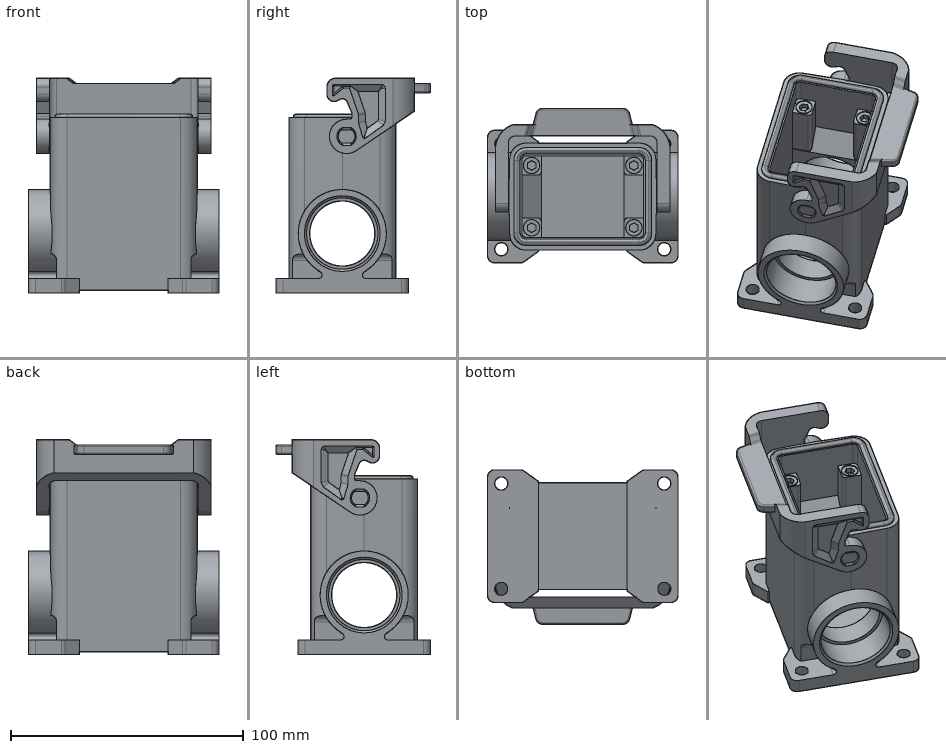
import cadquery as cq
import math

select_margin = 0.5

crest_half_x = 31.8
edge_half_x = 31.2
housing_half_y = 23.0
corner_radius = 7.0
housing_bottom = 1.2
rim_height = 75.6
cavity_half_x = 26.15
cavity_half_y = 17.6
cavity_radius = 1.85
floor_height = 3.7
duct_half_x = 17.65
duct_slope_bottom = 40.7
duct_slope_top = 48.05

bead_half_x = 28.3
bead_half_y = 19.7
bead_path_radius = 4.1
bead_radius = 1.4
bead_round = 1.3

relief_half_x = 28.8
relief_top = 16.9
relief_radius = 3.0

post_size = 8.3
post_top = 64.7
post_edge_radius = 1.4
screw_x = 22.0
screw_y = 13.4
screw_head_radius = 3.5
screw_head_recess = 0.4
socket_diameter = 4.2
socket_depth = 2.8

foot_span_x = 82.0
foot_half_x = foot_span_x / 2
foot_half_y = 28.55
foot_height = 6.3
foot_corner_radius = 3.1
foot_inner_x = 19.1
foot_bevel_x = 26.0
foot_bevel_radius = 2.8
foot_bevel_y = 23.7
hole_x = 35.0
hole_y = 22.6
hole_radius = 2.8

collar_z = 25.6
collar_radius = 18.9
entry_radius = 15.3
entry_chamfer = 0.9
lip_radius = 13.95
lip_x = 27.4
web_half_y = 10.2
web_notch_radius = 1.5

lever_top = 92.4
lever_half_x = 37.5
lever_inner_x = 32.0
lever_back_y = 31.0
lever_inner_y = 26.1
lever_inner_radius = 3.0
shoulder_start_y = 21.9
shoulder_middle_x = 35.1
shoulder_middle_y = 27.35
shoulder_end_x = 30.0
lever_front_y = -6.65
lever_front_radius = 3.8
hub_y = 1.85
hub_z = 67.4
hub_radius = 7.4
lever_back_bottom = 78.2
hook_nose_start_z = 85.6
hook_nose_end = (-3.1, 82.3)
hook_lip = (-1.3, 83.1)
hook_throat_middle = (0.65, 83.4)
hook_throat_end = (2.0, 82.3)
neck_y = 4.2
neck_top = 77.25
neck_bottom = 75.8
neck_round_y = 3.1
pin_radius = 4.2
pin_recess = 0.6
pin_recess_taper = 45
recess_flat_half_height = 3.9
recess_flat_taper = 63
pocket_back_y = 18.5
pocket_top = 89.7
pocket_round = 1.85
pocket_depth = 1.85
nose_pocket_depth = 0.5
pocket_taper = 58

tab_top = 90.2
tab_bottom = 86.0
tab_tip_y = 38.0
tab_root_half_x = 22.5
tab_tip_half_x = 19.6
tab_tip_radius = 3.2
tab_edge_round = 0.7
notch_taper = 50
notch_start_y = 22.2
notch_edge_radius = 1.1


def rounded_block(half_x, half_y, bottom, top, radius):
    return (cq.Workplane("XY").workplane(offset=bottom)
            .rect(2 * half_x, 2 * half_y).extrude(top - bottom)
            .edges("|Z").fillet(radius))


def both_sides(shape):
    """Join a feature of the -X side with its mirror image on the +X side."""
    return shape.union(shape.mirror("YZ"))


def near_edges(low, high):
    """Selector for edges whose centres lie in the box from low to high, plus a small margin."""
    return cq.selectors.BoxSelector([v - select_margin for v in low], [v + select_margin for v in high])


def make_shell():
    return (cq.Workplane("XY").workplane(offset=housing_bottom)
            .polyline([
                (-edge_half_x, -housing_half_y), (edge_half_x, -housing_half_y),
                (crest_half_x, 0), (edge_half_x, housing_half_y),
                (-edge_half_x, housing_half_y), (-crest_half_x, 0),
            ]).close().extrude(rim_height - housing_bottom)
            .edges("|Z and (>Y or <Y)").fillet(corner_radius))


def make_relief():
    height = relief_top - foot_height
    depth = foot_half_x - relief_half_x
    return (cq.Workplane("XY")
            .box(depth, 2 * housing_half_y, height, centered=(False, True, False))
            .edges("|Y and >Z and <X").fillet(relief_radius)
            .translate((relief_half_x, 0, foot_height)))


def make_bead():
    outer, inner = [
        rounded_block(bead_half_x + step, bead_half_y + step, rim_height,
                      rim_height + bead_radius, bead_path_radius + step)
        for step in (bead_radius, -bead_radius)
    ]
    return outer.cut(inner).faces(">Z").edges().fillet(bead_round)


def make_cavity():
    opening = rounded_block(cavity_half_x, cavity_half_y, floor_height, rim_height, cavity_radius)
    duct_wall = (cq.Workplane("XZ", origin=(0, housing_half_y, 0))
                 .polyline([(-duct_half_x, floor_height), (-duct_half_x, duct_slope_bottom),
                            (-cavity_half_x, duct_slope_top), (-cavity_half_x, floor_height)])
                 .close().extrude(2 * housing_half_y))
    opening = opening.cut(both_sides(duct_wall))
    post = (cq.Workplane("XY").workplane(offset=floor_height)
            .center(cavity_half_x, cavity_half_y).rect(2 * post_size, 2 * post_size)
            .extrude(post_top - floor_height).edges("|Z and <X and <Y").fillet(post_edge_radius))
    posts = both_sides(post)
    return opening.cut(posts.union(posts.mirror("XZ")))


def make_post_screws():
    points = [(sx * screw_x, sy * screw_y) for sx in (-1, 1) for sy in (-1, 1)]
    heads = (cq.Workplane("XY").workplane(offset=post_top - screw_head_recess)
             .pushPoints(points).circle(screw_head_radius).extrude(screw_head_recess))
    socket = (cq.Workplane("XY").workplane(offset=post_top - socket_depth)
              .polygon(6, socket_diameter).extrude(socket_depth)
              .rotate((0, 0, 0), (0, 0, 1), 90))
    for x, y in points:
        heads = heads.union(socket.translate((x, y, 0)))
    return heads


def make_foot():
    foot = (cq.Workplane("XY")
            .polyline([
                (-foot_half_x, -foot_half_y), (-foot_bevel_x, -foot_half_y),
                (-foot_inner_x, -foot_bevel_y), (-foot_inner_x, foot_bevel_y),
                (-foot_bevel_x, foot_half_y), (-foot_half_x, foot_half_y),
            ]).close().extrude(foot_height)
            .edges("|Z and <X").fillet(foot_corner_radius))
    bevel_corners = near_edges((-foot_bevel_x, -foot_half_y, 0), (-foot_bevel_x, foot_half_y, foot_height))
    foot = foot.edges(bevel_corners).edges("|Z").fillet(foot_bevel_radius)
    holes = (cq.Workplane("XY").pushPoints([(-hole_x, -hole_y), (-hole_x, hole_y)])
             .circle(hole_radius).extrude(foot_height))
    return foot.cut(holes)


def x_cylinder(radius, start_x, end_x, y, z):
    return cq.Workplane("YZ", origin=(start_x, y, z)).circle(radius).extrude(end_x - start_x)


def make_collar():
    collar = x_cylinder(collar_radius, -foot_half_x, -lip_x, 0, collar_z)
    web = (cq.Workplane("XY")
           .box(foot_half_x - lip_x, 2 * web_half_y, 2 * web_notch_radius, centered=(False, True, False))
           .translate((-foot_half_x, 0, foot_height)))
    for y in (-web_half_y, web_half_y):
        web = web.cut(x_cylinder(web_notch_radius, -foot_half_x, -lip_x, y, foot_height + web_notch_radius))
    return collar.union(web)


def make_entry_bore():
    return (x_cylinder(entry_radius, -foot_half_x, -lip_x, 0, collar_z)
            .union(cq.Workplane("YZ", origin=(-foot_half_x, 0, collar_z))
                   .circle(entry_radius + entry_chamfer)
                   .workplane(offset=entry_chamfer).circle(entry_radius).loft()))


def lever_side_profile():
    """Outline of the lever in the YZ plane, extruded through its full width."""
    reach_y = lever_back_y - hub_y
    reach_z = lever_back_bottom - hub_z
    tangent = math.atan2(reach_z, reach_y) - math.acos(hub_radius / math.hypot(reach_y, reach_z))
    middle = (math.pi / 2 + tangent + 2 * math.pi) / 2

    def on_hub(angle):
        return hub_y + hub_radius * math.cos(angle), hub_z + hub_radius * math.sin(angle)

    return (cq.Workplane("YZ", origin=(-lever_half_x, 0, 0))
            .moveTo(lever_back_y, lever_top).lineTo(lever_front_y + lever_front_radius, lever_top)
            .tangentArcPoint((lever_front_y, lever_top - lever_front_radius), relative=False)
            .lineTo(lever_front_y, hook_nose_start_z)
            .tangentArcPoint(hook_nose_end, relative=False)
            .lineTo(*hook_lip)
            .threePointArc(hook_throat_middle, hook_throat_end)
            .lineTo(neck_y, neck_top).lineTo(neck_y, neck_bottom)
            .tangentArcPoint((neck_round_y, hub_z + hub_radius), relative=False)
            .lineTo(*on_hub(math.pi / 2))
            .threePointArc(on_hub(middle), on_hub(tangent))
            .lineTo(lever_back_y, lever_back_bottom).close()
            .extrude(2 * lever_half_x))


def lever_bow():
    """U-shaped bow of the lever, extruded upward with its open end toward -Y."""
    inner_corners = near_edges((-lever_inner_x, lever_inner_y, 0), (lever_inner_x, lever_inner_y, lever_top))
    return (cq.Workplane("XY").workplane(offset=hub_z - hub_radius)
            .moveTo(-lever_half_x, lever_front_y).lineTo(-lever_half_x, shoulder_start_y)
            .threePointArc((-shoulder_middle_x, shoulder_middle_y), (-shoulder_end_x, lever_back_y))
            .lineTo(shoulder_end_x, lever_back_y)
            .threePointArc((shoulder_middle_x, shoulder_middle_y), (lever_half_x, shoulder_start_y))
            .lineTo(lever_half_x, lever_front_y).lineTo(lever_inner_x, lever_front_y)
            .lineTo(lever_inner_x, lever_inner_y).lineTo(-lever_inner_x, lever_inner_y)
            .lineTo(-lever_inner_x, lever_front_y).close()
            .extrude(lever_top - hub_z + hub_radius)
            .edges(inner_corners).edges("|Z")
            .fillet(lever_inner_radius))


def make_pocket():
    """Tapered pocket in the lever arm with a shallow branch reaching into the hook nose."""
    main = (cq.Workplane("YZ", origin=(-lever_half_x, 0, 0))
            .moveTo(pocket_back_y, 73.9).lineTo(pocket_back_y, pocket_top - pocket_round)
            .tangentArcPoint((pocket_back_y - pocket_round, pocket_top), relative=False)
            .lineTo(2.6, pocket_top).lineTo(6.9, 76.9).lineTo(6.9, 73.4)
            .lineTo(8.9, 66.7).lineTo(9.8, 66.5).lineTo(17.6, 72.1).close()
            .extrude(pocket_depth, taper=pocket_taper))
    nose = (cq.Workplane("YZ", origin=(-lever_half_x, 0, 0))
            .polyline([(3.7, pocket_top), (-3.7, pocket_top), (-4.25, 89.2), (-4.25, 85),
                       (-3.7, 84.7), (0.5, 88.15), (3.7, 88.15)])
            .close().extrude(nose_pocket_depth, taper=pocket_taper))
    return main.union(nose)


def make_pin_recess():
    face_x = -lever_half_x
    recess = (cq.Workplane("YZ", origin=(face_x, hub_y, hub_z))
              .circle(pin_radius).extrude(pin_recess, taper=pin_recess_taper))
    flats = (cq.Workplane("YZ", origin=(face_x, hub_y, hub_z))
             .rect(4 * pin_radius, 2 * recess_flat_half_height).extrude(pin_recess, taper=recess_flat_taper))
    return recess.intersect(flats)


def tab_outline(bottom, root_y, inset=0):
    """Tapering outline of the thumb tab, from root_y to the tip, at height bottom."""
    slope = (tab_root_half_x - tab_tip_half_x) / (tab_tip_y - lever_inner_y)
    root_half_x = tab_tip_half_x + slope * (tab_tip_y - root_y) - inset
    tip_half_x = tab_tip_half_x - inset
    return (cq.Workplane("XY").workplane(offset=bottom)
            .polyline([(-root_half_x, root_y), (root_half_x, root_y),
                       (tip_half_x, tab_tip_y), (-tip_half_x, tab_tip_y)]).close())


def make_tab():
    tab = tab_outline(tab_bottom, lever_inner_y).extrude(tab_top - tab_bottom)
    tab = tab.edges("|Z and >Y").fillet(tab_tip_radius)
    return tab.faces("<Z or >Z").edges("not <Y").fillet(tab_edge_round)


def make_lever():
    lever = lever_bow().intersect(lever_side_profile())
    notch = tab_outline(tab_top, notch_start_y, tab_edge_round)
    notch = notch.extrude(lever_top - tab_top, taper=-notch_taper)
    lever = lever.cut(notch)
    bar_middle_y = (lever_inner_y + lever_back_y) / 2
    ramp_edges = near_edges((-lever_inner_x, bar_middle_y, tab_top), (lever_inner_x, bar_middle_y, lever_top))
    lever = lever.edges(ramp_edges).fillet(notch_edge_radius).union(make_tab())
    lever = lever.cut(both_sides(make_pocket().union(make_pin_recess())))
    pin = x_cylinder(pin_radius, -lever_inner_x, -cavity_half_x, hub_y, hub_z)
    return lever.union(both_sides(pin))


housing = make_shell().cut(both_sides(make_relief()))
housing = housing.union(both_sides(make_foot().union(make_collar())))
housing = housing.cut(make_cavity()).cut(make_post_screws())
housing = housing.cut(both_sides(make_entry_bore()))
housing = housing.cut(x_cylinder(lip_radius, -foot_half_x, foot_half_x, 0, collar_z))
housing = housing.union(make_bead())

result = housing.union(make_lever())